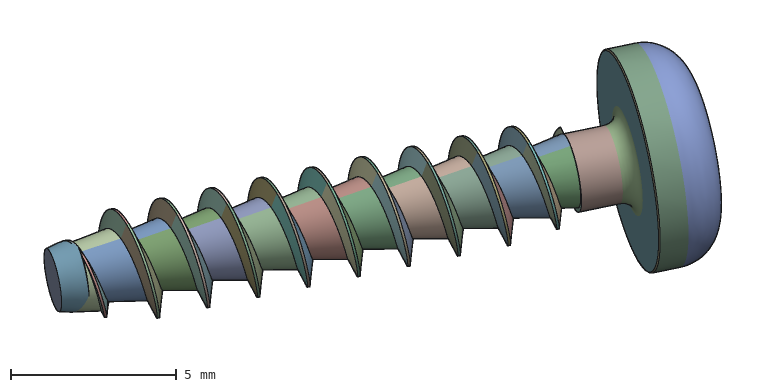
import cadquery as cq
import math

length = 20.3
head_radius = 3.45
head_height = 2.3
head_rounding = 1.35
head_edge_chamfer = 0.05
neck_radius = 2.42 / 2
neck_fillet = 0.49
neck_end = 4.08
tip_radius = 0.97
tip_taper_length = 0.81
tip_taper_radius = 1.18

counted_turns = 9
counted_length = 14.13
pitch = counted_length / counted_turns
first_crest = 3.82
crest_radius = 1.77
crest_half_width = 0.05
flank_slope = 0.33
run_in_end = 1.2
run_in_slope = 0.32
run_out_start = 9.1
run_out_slope = 0.65
smallest_crest_radius = 1.02
smallest_step = 0.01

core_wide_radius = 2.45 / 2
core_narrow_radius = 0.97

first_turn = -1
last_turn = 11
points_per_turn = 24


def make_head_and_neck():
    """Rounded head and filleted cylindrical neck."""
    profile = (
        cq.Workplane("XY")
        .moveTo(0, 0)
        .lineTo(head_radius - head_rounding, 0)
        .radiusArc((head_radius, -head_rounding), head_rounding)
        .lineTo(head_radius, -head_height + head_edge_chamfer)
        .lineTo(head_radius - head_edge_chamfer, -head_height)
        .lineTo(neck_radius + neck_fillet, -head_height)
        .radiusArc((neck_radius, -head_height - neck_fillet), -neck_fillet)
        .lineTo(neck_radius, -neck_end)
        .lineTo(0, -neck_end)
        .close()
    )
    return profile.revolve(360, (0, 0, 0), (0, 1, 0))


def crest_radius_at(turn):
    """Crest radius, growing from the neck and dying out at the tip."""
    run_in = run_in_slope * (run_in_end - turn)
    run_out = run_out_slope * (turn - run_out_start)
    return max(smallest_crest_radius, crest_radius - max(0, run_in, run_out))


def core_radius_at(offset):
    """Core radius at an axial offset behind a crest, up to the next crest."""
    return core_wide_radius - (core_wide_radius - core_narrow_radius) * offset / pitch


def section(turn):
    """(axial offset, radius) of the head-side root, the crest and the tip-side root."""
    crest = crest_radius_at(turn)
    near_core = min(core_radius_at(0), crest - smallest_step)
    far_core = min(core_radius_at(pitch), crest - smallest_step)
    tip_half_width = crest_half_width + flank_slope * (crest - near_core)
    head_half_width = crest_half_width + flank_slope * (crest - far_core)
    return [
        (-head_half_width, min(core_radius_at(pitch - head_half_width), far_core + smallest_step)),
        (-crest_half_width, crest),
        (crest_half_width, crest),
        (tip_half_width, min(core_radius_at(tip_half_width), near_core)),
    ]


def section_point(turn, corner):
    offset, radius = section(turn)[corner]
    angle = 2 * math.pi * turn
    depth = first_crest + pitch * turn + offset
    return cq.Vector(-radius * math.sin(angle), -depth, radius * math.cos(angle))


def helix_edge(turn, corner):
    """One turn of the helical path of a section corner."""
    turns = [turn + i / points_per_turn for i in range(points_per_turn + 1)]
    return cq.Edge.makeSpline([section_point(t, corner) for t in turns])


def axis_point(turn):
    """Point on the axis level with the head-side root."""
    return cq.Vector(0, section_point(turn, 0).y, 0)


def end_faces(turn):
    """Helical floor and flat radial wall that close the skin at one end."""
    axis_edge = cq.Edge.makeLine(axis_point(turn), axis_point(turn + 1))
    floor = cq.Face.makeRuledSurface(axis_edge, helix_edge(turn, 0))
    outline = [section_point(turn, corner) for corner in range(4)]
    outline += [section_point(turn + 1, 0), axis_point(turn + 1), axis_point(turn)]
    wall = cq.Face.makeFromWires(cq.Wire.makePolygon(outline, close=True))
    return [floor, wall]


def make_threaded_shank():
    """Thread and core as one helical skin, trimmed flat at the neck and tapered at the tip."""
    faces = end_faces(first_turn) + end_faces(last_turn)
    for turn in range(first_turn, last_turn):
        edges = [helix_edge(turn, corner) for corner in range(4)]
        edges.append(helix_edge(turn + 1, 0))
        faces += [cq.Face.makeRuledSurface(a, b) for a, b in zip(edges, edges[1:])]
    skin = cq.Solid.makeSolid(cq.Shell.makeShell(faces))
    threaded_stretch = (
        cq.Workplane("XY")
        .moveTo(0, -neck_end)
        .lineTo(head_radius, -neck_end)
        .lineTo(head_radius, -length + 2 * tip_taper_length)
        .lineTo(tip_taper_radius, -length + tip_taper_length)
        .lineTo(tip_radius, -length)
        .lineTo(0, -length)
        .close()
        .revolve(360, (0, 0, 0), (0, 1, 0))
    )
    return threaded_stretch.intersect(cq.Workplane(skin.fix()))


result = make_head_and_neck().union(make_threaded_shank())